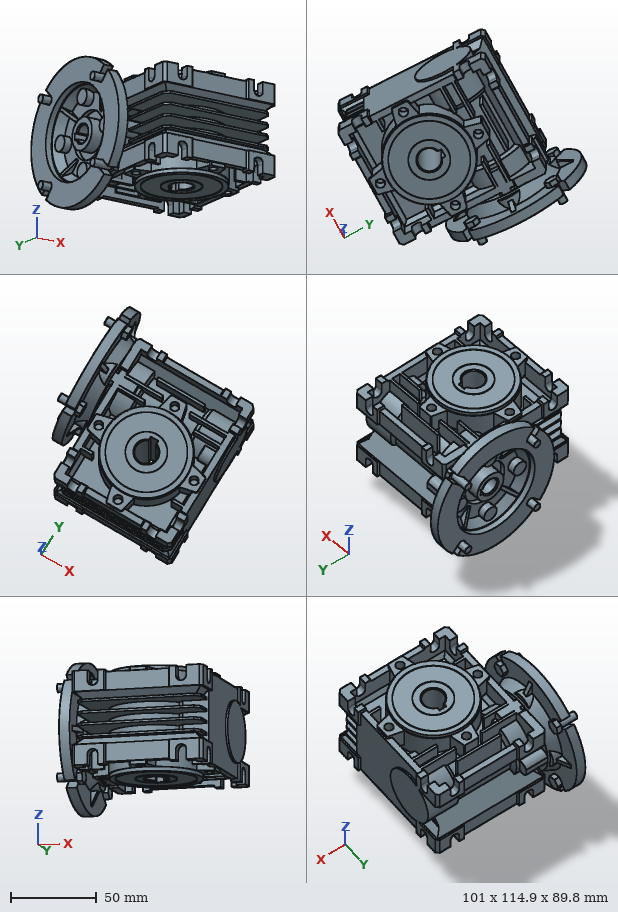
import cadquery as cq
import math


WORM_Y = 30.0

FRAME_HALF_X = 38.7
FRAME_FRONT_Y = -38.7
FRAME_BACK_Y = 55.8
FRAME_TOP = 26.8
FRAME_BOTTOM = 15.7
FLOOR_Z = 11.5
POCKET_HALF_X = 34.5
POCKET_FRONT_Y = -34.6
POCKET_BACK_Y = 51.8
POCKET_BEVEL = 2.8
BACK_SLOPE_DROP = 8.3
BACK_WALL = 1.4

PAD_HALF_X = 40.0
PAD_FRONT_Y = -40.0
PAD_BACK_Y = 57.1
PAD_TOP = 28.0
PAD_CHAMFER = 1.8
PAD_LENGTH_X = 20.0
PAD_LENGTH_Y = 20.1
PAD_END_TAPER = 0.8
SLOT_WIDTH = 6.3
SLOT_RADIUS = SLOT_WIDTH / 2
SLOT_BOTTOM = 19.0
SLOT_X = 27.0
SLOT_FRONT_Y = -26.9
SLOT_BACK_Y = 44.2

FIN_PITCH = 7.0
FIN_THICKNESS = 1.4
FIN_COUNT = 4
FIN_HALF_X = 37.5
FIN_FRONT_Y = -38.1
FIN_BACK_Y = 0.0
FIN_CORNER = 3.5

CASE_RADIUS = 27.9
CASE_TOP = 28.9
COVER_RADIUS = 27.5
COVER_TOP = 31.4
COVER_RECESS_RADIUS = 24.0
COVER_RECESS_DEPTH = 0.5
EAR_RADIUS = 37.4
EAR_OUTER_HALF = 5.4
EAR_INNER_HALF = 7.7
EAR_ROOT_X = CASE_RADIUS - 1.1
EAR_CORNER = 0.7
EAR_HOLE_OFFSET = 32.4
EAR_HOLE_RADIUS = 2.8
EAR_HOLE_DEPTH = 9.2
EAR_THICKNESS = CASE_TOP - FRAME_BOTTOM

BLOCK_LEFT_X = 23.0
BLOCK_FRONT_Y = -23.0
BLOCK_BEVEL = 3.5

TUBE_LEFT_X = -40.8
PILOT_X = -41.9
TUBE_LEFT_RADIUS = 20.8
TUBE_LEFT_END = -22.7
TUBE_MID_START = -21.5
TUBE_MID_RADIUS = 16.7
TUBE_MID_END = 15.7
TUBE_RIGHT_START = 18.0
TUBE_RIGHT_RADIUS = 18.4
TUBE_RIGHT_X = PAD_HALF_X

BOLT_CIRCLE_RADIUS = 22.7
BOLT_BOSS_RADIUS = 4.9
BOLT_BOSS_END = -25.0
BOLT_HEAD_X = -50.0

PLUG_Y = 19.8
PLUG_Z = 13.8
PLUG_RADIUS = 5.3
PLUG_START_X = 26.0

RIB_THICKNESS = 1.8
FRONT_RIB_Y = -16.0
NEAR_RIB_Y = 26.2
FAR_RIB_Y = 34.0
BACK_RIB_Y = 42.0
BACK_RIB_X = (-17.5, 14.5)
FRONT_RIB_END_X = 27.0
NEAR_RIB_END_X = 17.0
FAR_RIB_END_X = 9.4

FLANGE_RADIUS = 44.9
FLANGE_FRONT_X = -55.0
FLANGE_BACK_X = -48.6
NECK_WIDE_RADIUS = 30.8
NECK_NARROW_RADIUS = 27.2
SPIGOT_RADIUS = 29.9
SPIGOT_DEPTH = 4.0
BOWL_RADIUS = 29.2
BOWL_FLOOR_RADIUS = 25.4
BOWL_FLOOR_X = -45.0
FLANGE_HOLE_RADIUS = 15.0
LOBE_RADIUS = 8.3
LOBE_END_X = -42.0
OUTER_RIB_THICKNESS = 3.1
OUTER_RIB_RADIUS = 39.5
OUTER_RIB_END_X = -44.3
INNER_RIB_THICKNESS = 2.4
INNER_RIB_START = 16.8
INNER_RIB_ROOT = BOWL_RADIUS - 1.1
FLANGE_SLOT_WIDTH = 5.5
STUD_CIRCLE_RADIUS = 37.5
STUD_RADIUS = 2.5
STUD_END_X = -61.0
STUD_HEAD_FLATS = 8.0
STUD_HEAD_END_X = -45.1

WORM_RADIUS = 10.1
WORM_START_X = BOLT_HEAD_X
WORM_LENGTH = 32.2
WORM_BORE_RADIUS = 5.5
WORM_BORE_DEPTH = 23.0
WORM_BORE_CHAMFER = 0.8
WORM_KEY_WIDTH = 4.0
WORM_KEY_HEIGHT = 7.4

OUTPUT_RADIUS = 12.3
OUTPUT_BORE_RADIUS = 7.0
OUTPUT_BORE_CHAMFER = 0.7
OUTPUT_KEY_WIDTH = 4.9
OUTPUT_KEY_HEIGHT = 9.3


def box(x0, x1, y0, y1, z0, z1):
    return cq.Workplane("XY").box(x1 - x0, y1 - y0, z1 - z0, centered=False).translate((x0, y0, z0))


def rod(x0, x1, radius, y=WORM_Y, z=0.0):
    """Cylinder parallel to the X axis."""
    return cq.Workplane("YZ", origin=(x0, y, z)).circle(radius).extrude(x1 - x0)


def disc(z0, z1, radius):
    """Cylinder around the output axis."""
    return cq.Workplane("XY", origin=(0, 0, z0)).circle(radius).extrude(z1 - z0)


def around_worm(points):
    """Solid of revolution about the worm axis from (x, radius) points."""
    profile = cq.Workplane("XY").polyline(points).close()
    return profile.revolve(360, (0, 0, 0), (1, 0, 0)).translate((0, WORM_Y, 0))


def turned_about_worm(shape, angle):
    return shape.rotate((0, WORM_Y, 0), (1, WORM_Y, 0), angle)


def both_sides(upper):
    """A shape together with its mirror image below the mid plane."""
    return upper.union(upper.mirror("XY"))


def prism_along_x(points, x0, x1):
    """Prism along X from (y, z) points."""
    return cq.Workplane("YZ", origin=(x0, 0, 0)).polyline(points).close().extrude(x1 - x0)


def bevelled_block(half_x, y0, y1, top, shoulder, drop):
    """Upright block whose lower part narrows at 45 degrees."""
    base = cq.Workplane("XY", origin=(0, (y0 + y1) / 2, shoulder)).rect(2 * half_x, y1 - y0)
    return box(-half_x, half_x, y0, y1, shoulder, top).union(base.extrude(-drop, taper=45))


def corner_pad_outline(side, y_outer, inward, taper):
    """L-shaped outline; side is the X sign, inward the Y sign towards the middle of the housing."""
    x_outer = side * PAD_HALF_X
    x_end = side * PAD_LENGTH_X
    x_taper = x_end - side * taper
    y_end = y_outer + inward * PAD_LENGTH_Y
    y_taper = y_end + inward * taper
    x_frame = side * FRAME_HALF_X
    y_frame = FRAME_FRONT_Y if inward > 0 else FRAME_BACK_Y
    x_inner = side * POCKET_HALF_X
    y_inner = POCKET_FRONT_Y if inward > 0 else POCKET_BACK_Y
    return [
        (x_end, y_outer),
        (x_outer - side * PAD_CHAMFER, y_outer),
        (x_outer, y_outer + inward * PAD_CHAMFER),
        (x_outer, y_end),
        (x_frame, y_taper),
        (x_inner, y_taper),
        (x_inner, y_inner),
        (x_taper, y_inner),
        (x_taper, y_frame),
    ]


def corner_pad(side, y_outer, inward):
    """Corner thickening whose ends taper into the frame, in plan and above the rim."""
    tapered = corner_pad_outline(side, y_outer, inward, PAD_END_TAPER)
    straight = corner_pad_outline(side, y_outer, inward, 0)
    lower = cq.Workplane("XY", origin=(0, 0, FRAME_BOTTOM)).polyline(tapered).close()
    upper = cq.Workplane("XY", origin=(0, 0, FRAME_TOP)).polyline(tapered).close()
    upper = upper.workplane(offset=PAD_TOP - FRAME_TOP).polyline(straight).close().loft(ruled=True)
    return lower.extrude(FRAME_TOP - FRAME_BOTTOM).union(upper)


def mounting_slot(width_axis_x, centre, start, end):
    """Open-topped slot with a round bottom, running from start to end through a wall."""
    centre_z = SLOT_BOTTOM + SLOT_RADIUS
    if width_axis_x:
        round_end = cq.Workplane("XZ", origin=(centre, start, centre_z)).circle(SLOT_RADIUS)
        round_end = round_end.extrude(start - end)
        open_end = box(centre - SLOT_RADIUS, centre + SLOT_RADIUS, start, end, centre_z, COVER_TOP)
    else:
        round_end = rod(start, end, SLOT_RADIUS, centre, centre_z)
        open_end = box(start, end, centre - SLOT_RADIUS, centre + SLOT_RADIUS, centre_z, COVER_TOP)
    return round_end.union(open_end)


def mounting_slots():
    slots = cq.Workplane("XY")
    for x in (-SLOT_X, SLOT_X):
        slots = slots.add(mounting_slot(True, x, PAD_FRONT_Y, POCKET_FRONT_Y))
        slots = slots.add(mounting_slot(True, x, POCKET_BACK_Y, PAD_BACK_Y))
    slots = slots.add(mounting_slot(False, SLOT_FRONT_Y, -PAD_HALF_X, -POCKET_HALF_X))
    slots = slots.add(mounting_slot(False, SLOT_FRONT_Y, POCKET_HALF_X, PAD_HALF_X))
    slots = slots.add(mounting_slot(False, SLOT_BACK_Y, POCKET_HALF_X, PAD_HALF_X))
    return slots.vals()


def frame():
    """Upper frame with its pocket, corner pads and mounting slots."""
    drop = FRAME_BOTTOM - FLOOR_Z
    shoulder = FLOOR_Z + POCKET_BEVEL
    body = bevelled_block(FRAME_HALF_X, FRAME_FRONT_Y, FRAME_BACK_Y, FRAME_TOP, FRAME_BOTTOM, drop)

    slope_end_y = POCKET_BACK_Y - BACK_SLOPE_DROP
    slope_end_z = shoulder - BACK_SLOPE_DROP
    outer_y = FRAME_BACK_Y - drop
    outer_drop = FLOOR_Z - slope_end_z + BACK_WALL
    wedge = [
        (outer_y, FLOOR_Z),
        (outer_y - outer_drop, FLOOR_Z - outer_drop),
        (WORM_Y, FLOOR_Z - outer_drop),
        (WORM_Y, FLOOR_Z),
    ]
    body = body.union(prism_along_x(wedge, -POCKET_HALF_X, POCKET_HALF_X))
    floor_bottom = FLOOR_Z - FIN_THICKNESS
    floor_front = FIN_FRONT_Y + FIN_CORNER
    body = body.union(box(-POCKET_HALF_X, POCKET_HALF_X, floor_front, WORM_Y, floor_bottom, FLOOR_Z))
    for side in (-1, 1):
        body = body.union(corner_pad(side, PAD_FRONT_Y, 1))
        body = body.union(corner_pad(side, PAD_BACK_Y, -1))

    pocket = bevelled_block(POCKET_HALF_X, POCKET_FRONT_Y, POCKET_BACK_Y, PAD_TOP, shoulder, POCKET_BEVEL)
    back_slope = [
        (POCKET_BACK_Y, shoulder),
        (slope_end_y, slope_end_z),
        (WORM_Y, slope_end_z),
        (WORM_Y, shoulder),
    ]
    body = body.cut(pocket)
    body = body.cut(prism_along_x(back_slope, -POCKET_HALF_X, POCKET_HALF_X))
    for slot in mounting_slots():
        body = body.cut(cq.Workplane(slot))
    return body


def pocket_rib(x0, x1, y):
    return box(x0, x1, y - RIB_THICKNESS / 2, y + RIB_THICKNESS / 2, FLOOR_Z - FIN_THICKNESS, FRAME_TOP)


def pocket_ribs():
    ribs = pocket_rib(*BACK_RIB_X, BACK_RIB_Y)
    wall_ribs = [
        (FRONT_RIB_Y, FRONT_RIB_END_X),
        (NEAR_RIB_Y, NEAR_RIB_END_X),
        (FAR_RIB_Y, FAR_RIB_END_X),
    ]
    for y, inner_x in wall_ribs:
        ribs = ribs.union(pocket_rib(-POCKET_HALF_X, -inner_x, y))
        ribs = ribs.union(pocket_rib(inner_x, POCKET_HALF_X, y))
    return ribs


def cooling_fins():
    outline = [
        (-FIN_HALF_X, FIN_BACK_Y),
        (-FIN_HALF_X, FIN_FRONT_Y + FIN_CORNER),
        (-FIN_HALF_X + FIN_CORNER, FIN_FRONT_Y),
        (FIN_HALF_X - FIN_CORNER, FIN_FRONT_Y),
        (FIN_HALF_X, FIN_FRONT_Y + FIN_CORNER),
        (FIN_HALF_X, FIN_BACK_Y),
    ]
    fins = cq.Workplane("XY")
    for i in range(FIN_COUNT):
        z = (i - (FIN_COUNT - 1) / 2) * FIN_PITCH - FIN_THICKNESS / 2
        fin = cq.Workplane("XY", origin=(0, 0, z)).polyline(outline).close().extrude(FIN_THICKNESS)
        fins = fins.union(fin)
    return fins


def ear():
    """Lug on the +X side of the gear case."""
    outline = [
        (0, -EAR_INNER_HALF),
        (EAR_ROOT_X, -EAR_INNER_HALF),
        (EAR_RADIUS - EAR_CORNER, -EAR_OUTER_HALF),
        (EAR_RADIUS, -EAR_OUTER_HALF + EAR_CORNER),
        (EAR_RADIUS, EAR_OUTER_HALF - EAR_CORNER),
        (EAR_RADIUS - EAR_CORNER, EAR_OUTER_HALF),
        (EAR_ROOT_X, EAR_INNER_HALF),
        (0, EAR_INNER_HALF),
    ]
    return cq.Workplane("XY", origin=(0, 0, CASE_TOP)).polyline(outline).close().extrude(-EAR_THICKNESS)


def ear_hole():
    """Blind screw hole in the +X lug."""
    hole = cq.Workplane("XY", origin=(EAR_HOLE_OFFSET, 0, CASE_TOP)).circle(EAR_HOLE_RADIUS)
    return hole.extrude(-EAR_HOLE_DEPTH)


def worm_tube():
    return around_worm([
        (PILOT_X, 0),
        (PILOT_X, FLANGE_HOLE_RADIUS),
        (TUBE_LEFT_X, FLANGE_HOLE_RADIUS),
        (TUBE_LEFT_X, TUBE_LEFT_RADIUS),
        (TUBE_LEFT_END, TUBE_LEFT_RADIUS),
        (TUBE_MID_START, TUBE_MID_RADIUS),
        (TUBE_MID_END, TUBE_MID_RADIUS),
        (TUBE_RIGHT_START, TUBE_RIGHT_RADIUS),
        (TUBE_RIGHT_X, TUBE_RIGHT_RADIUS),
        (TUBE_RIGHT_X, 0),
    ])


def bolt_bosses():
    """Four bosses for the flange bolts, trimmed level with the frame rims."""
    boss = rod(TUBE_LEFT_X, BOLT_BOSS_END, BOLT_BOSS_RADIUS, WORM_Y + BOLT_CIRCLE_RADIUS)
    bosses = boss
    for i in range(1, 4):
        bosses = bosses.union(turned_about_worm(boss, 90 * i))
    return bosses.intersect(box(TUBE_LEFT_X, 0, 0, PAD_BACK_Y, -FRAME_TOP, FRAME_TOP))


def side_block():
    outline = [
        (BLOCK_LEFT_X - BLOCK_BEVEL, BLOCK_FRONT_Y + BLOCK_BEVEL),
        (BLOCK_LEFT_X, BLOCK_FRONT_Y),
        (FRAME_HALF_X, BLOCK_FRONT_Y),
        (FRAME_HALF_X, WORM_Y),
        (BLOCK_LEFT_X - BLOCK_BEVEL, WORM_Y),
    ]
    block = cq.Workplane("XY", origin=(0, 0, -FLOOR_Z)).polyline(outline).close()
    wall = box(POCKET_HALF_X, FRAME_HALF_X, BLOCK_FRONT_Y, WORM_Y, -FRAME_BOTTOM, FRAME_BOTTOM)
    return block.extrude(2 * FLOOR_Z).union(wall)


def make_housing():
    body = both_sides(frame().union(pocket_ribs()))
    body = body.union(cooling_fins()).union(side_block()).union(worm_tube()).union(bolt_bosses())
    body = body.union(rod(PLUG_START_X, FRAME_HALF_X, PLUG_RADIUS, PLUG_Y, PLUG_Z))

    body = body.union(disc(-CASE_TOP, CASE_TOP, CASE_RADIUS))
    body = body.union(disc(-COVER_TOP, COVER_TOP, COVER_RADIUS))
    for i in range(4):
        body = body.union(both_sides(ear().rotate((0, 0, 0), (0, 0, 1), 90 * i)))
    for i in range(4):
        body = body.cut(both_sides(ear_hole().rotate((0, 0, 0), (0, 0, 1), 90 * i)))
    body = body.cut(both_sides(disc(COVER_TOP - COVER_RECESS_DEPTH, COVER_TOP, COVER_RECESS_RADIUS)))

    body = body.cut(disc(-COVER_TOP, COVER_TOP, OUTPUT_RADIUS))
    return body.cut(rod(WORM_START_X, WORM_START_X + WORM_LENGTH, WORM_RADIUS))


def outer_rib():
    """Triangular rib behind the flange, on the +Y side."""
    tip_radius = BOLT_CIRCLE_RADIUS + LOBE_RADIUS
    outline = [
        (FLANGE_BACK_X, BOLT_CIRCLE_RADIUS + BOLT_BOSS_RADIUS),
        (FLANGE_BACK_X, OUTER_RIB_RADIUS),
        (OUTER_RIB_END_X, tip_radius),
        (OUTER_RIB_END_X, BOLT_CIRCLE_RADIUS + BOLT_BOSS_RADIUS),
    ]
    rib = cq.Workplane("XY", origin=(0, WORM_Y, -OUTER_RIB_THICKNESS / 2)).polyline(outline).close()
    return rib.extrude(OUTER_RIB_THICKNESS)


def inner_rib():
    """Triangular rib inside the bowl, on the +Y side."""
    outline = [
        (BOWL_FLOOR_X, INNER_RIB_START),
        (FLANGE_FRONT_X + SPIGOT_DEPTH, BOWL_RADIUS),
        (BOWL_FLOOR_X, INNER_RIB_ROOT),
    ]
    rib = cq.Workplane("XY", origin=(0, WORM_Y, -INNER_RIB_THICKNESS / 2)).polyline(outline).close()
    return rib.extrude(INNER_RIB_THICKNESS)


def stud():
    """Stud in a flange slot with a hexagonal head behind the flange, on the +Y side."""
    y = WORM_Y + STUD_CIRCLE_RADIUS
    head = cq.Workplane("YZ", origin=(FLANGE_BACK_X, y, 0))
    head = head.polygon(6, STUD_HEAD_FLATS / math.cos(math.pi / 6))
    head = head.extrude(STUD_HEAD_END_X - FLANGE_BACK_X)
    return rod(STUD_END_X, FLANGE_BACK_X, STUD_RADIUS, y).union(head)


def stud_slot():
    """Radial slot through the flange rim, on the +Y side."""
    y = WORM_Y + STUD_CIRCLE_RADIUS
    half = FLANGE_SLOT_WIDTH / 2
    slot = box(FLANGE_FRONT_X, FLANGE_BACK_X, y, WORM_Y + FLANGE_RADIUS + half, -half, half)
    return slot.union(rod(FLANGE_FRONT_X, FLANGE_BACK_X, half, y))


def make_flange():
    spigot_floor_x = FLANGE_FRONT_X + SPIGOT_DEPTH
    body = rod(FLANGE_FRONT_X, FLANGE_BACK_X, FLANGE_RADIUS)
    body = body.union(around_worm([
        (FLANGE_BACK_X, 0),
        (FLANGE_BACK_X, NECK_WIDE_RADIUS),
        (TUBE_LEFT_X, NECK_NARROW_RADIUS),
        (TUBE_LEFT_X, 0),
    ]))
    lobe = rod(FLANGE_BACK_X, LOBE_END_X, LOBE_RADIUS, WORM_Y + BOLT_CIRCLE_RADIUS).union(outer_rib())
    for i in range(4):
        body = body.union(turned_about_worm(lobe, 90 * i))

    body = body.cut(rod(FLANGE_FRONT_X, spigot_floor_x, SPIGOT_RADIUS))
    body = body.cut(around_worm([
        (spigot_floor_x, 0),
        (spigot_floor_x, BOWL_RADIUS),
        (BOWL_FLOOR_X, BOWL_FLOOR_RADIUS),
        (BOWL_FLOOR_X, 0),
    ]))
    body = body.cut(rod(BOWL_FLOOR_X, TUBE_LEFT_X, FLANGE_HOLE_RADIUS))

    bolt_head = rod(BOLT_HEAD_X, BOWL_FLOOR_X, BOLT_BOSS_RADIUS, WORM_Y + BOLT_CIRCLE_RADIUS)
    for i in range(4):
        diagonal = 90 * i + 45
        body = body.union(turned_about_worm(bolt_head, 90 * i))
        body = body.union(turned_about_worm(inner_rib(), diagonal))
        body = body.cut(turned_about_worm(stud_slot(), diagonal))
        body = body.union(turned_about_worm(stud(), diagonal))
    return body


def make_worm():
    bore_end = WORM_START_X + WORM_BORE_DEPTH
    mouth_radius = WORM_BORE_RADIUS + WORM_BORE_CHAMFER
    body = rod(WORM_START_X, WORM_START_X + WORM_LENGTH, WORM_RADIUS)
    body = body.cut(around_worm([
        (WORM_START_X, 0),
        (WORM_START_X, mouth_radius),
        (WORM_START_X + WORM_BORE_CHAMFER, WORM_BORE_RADIUS),
        (bore_end, WORM_BORE_RADIUS),
        (bore_end, 0),
    ]))
    half = WORM_KEY_WIDTH / 2
    return body.cut(box(WORM_START_X, bore_end, WORM_Y, WORM_Y + WORM_KEY_HEIGHT, -half, half))


def make_output_shaft():
    body = disc(-COVER_TOP, COVER_TOP, OUTPUT_RADIUS).cut(disc(-COVER_TOP, COVER_TOP, OUTPUT_BORE_RADIUS))
    body = body.faces("<Z or >Z").edges("%CIRCLE").edges(cq.selectors.RadiusNthSelector(0))
    body = body.chamfer(OUTPUT_BORE_CHAMFER)
    half = OUTPUT_KEY_WIDTH / 2
    return body.cut(box(-half, half, 0, OUTPUT_KEY_HEIGHT, -COVER_TOP, COVER_TOP))


housing = make_housing()
flange = make_flange()
worm = make_worm()
output_shaft = make_output_shaft()

result = cq.Compound.makeCompound([housing.val(), flange.val(), worm.val(), output_shaft.val()])